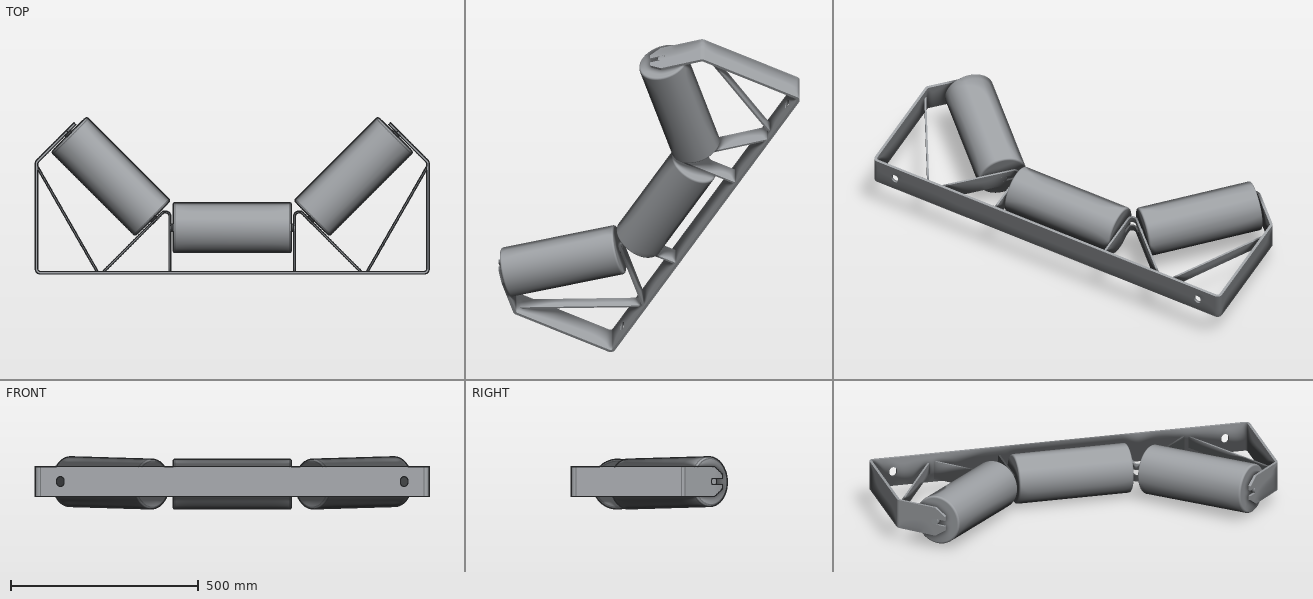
import cadquery as cq
import math

frame_width = 1050.0
strip_height = 80.0
strip_thickness = 7.0
strip_bend_radius = 14.0
flange_reach = 32.0
tip_chamfer_run = 29.0
tip_chamfer_drop = 20.0

hole_x = 458.0
hole_width = 20.0
hole_height = 26.0

brace_thickness = 5.0
brace_height = 32.0
brace_foot_x = 360.0
brace_top_y = 282.0

bracket_thickness = 5.0
bracket_height = 50.0
bracket_top_y = 168.0
bracket_bend_radius = 14.0

roller_length = 315.0
roller_radius = 66.7
roller_edge_fillet = 5.0
shaft_radius = 10.0
shoulder_gap = 0.5
shaft_flat_width = 16.0
end_gap = 5.8
slot_climb = 63.0
slot_overcut = 9.0

slant_angle = 45.0
climb_angle = 1.2
middle_y = 124.0
middle_z = -6.8
side_x = 323.0
side_y = 260.0
side_z = -3.4

half_width = frame_width / 2
inner_half_width = half_width - strip_thickness
half_roller = roller_length / 2
plate_face = half_roller + end_gap
flange_far_face = plate_face + strip_thickness
arm_far_face = plate_face + bracket_thickness
slope = math.tan(math.radians(slant_angle))
slant_cos = math.cos(math.radians(slant_angle))
slant_sin = math.sin(math.radians(slant_angle))


def slanted_y(along, x):
    """Y at a given X on the plate face that crosses the left roller axis at a distance along it."""
    axis_x = -side_x - along * slant_cos
    axis_y = side_y + along * slant_sin
    return axis_y + (x - axis_x) * slope


def slanted_x(along, y):
    """X at a given Y on the same plate face."""
    return (y - slanted_y(along, 0)) / slope


def flange_tip(along):
    """Tip corner of the left flange on the face at a distance along the roller axis."""
    x = -side_x - along * slant_cos + flange_reach * slant_sin
    return (x, slanted_y(along, x))


def upright_plate(outline, height, z_middle=0.0):
    """Outline in XY extruded in Z, half to each side of its middle height."""
    base = cq.Workplane("XY", origin=(0, 0, z_middle))
    return base.polyline(outline).close().extrude(height / 2, both=True)


def round_bend(plate, corner, radius):
    """Round the upright edge of a plate that stands at an XY corner."""
    edge = plate.edges("|Z").edges(cq.selectors.NearestToPointSelector((*corner, 0)))
    return edge.fillet(radius)


def place_middle(body):
    return body.translate((0, middle_y, middle_z))


def place_left(body):
    """Tilt and slant a body built along X, then move it to the left side roller's centre."""
    tilted = body.rotate((0, 0, 0), (0, 1, 0), climb_angle)
    return tilted.rotate((0, 0, 0), (0, 0, 1), -slant_angle).translate((-side_x, side_y, side_z))


def along_x(start, radius, length):
    return cq.Workplane("YZ", origin=(start, 0, 0)).circle(radius).extrude(length)


def make_roller(left_plate, right_plate):
    """Roller along X; its shaft ends have flats where they pass through the given plates."""
    roller = along_x(-half_roller, roller_radius, roller_length).edges().fillet(roller_edge_fillet)
    left_end = plate_face + left_plate
    right_end = plate_face + right_plate
    shaft = along_x(-left_end, shaft_radius, left_end + right_end)
    neck_end = plate_face - shoulder_gap
    neck = along_x(-neck_end, shaft_radius, 2 * neck_end)
    flats = cq.Workplane("XY").box(2 * max(left_end, right_end), 2 * shaft_radius, shaft_flat_width)
    return roller.union(neck).union(shaft.intersect(flats))


def make_slots(left_plate, right_plate):
    """Cutters along X for the slots of both plates, closed by the round of the shaft."""
    cutters = cq.Workplane("XY")
    for side, plate in ((-1, left_plate), (1, right_plate)):
        depth = end_gap + plate + slot_overcut
        middle = side * (half_roller + depth / 2)
        seat = along_x(middle - depth / 2, shaft_radius, depth)
        channel = cq.Workplane("XY").box(depth, slot_climb, 2 * shaft_radius)
        channel = channel.translate((middle, slot_climb / 2, 0))
        limit = cq.Workplane("XY").box(depth, 2 * slot_climb, shaft_flat_width).translate((middle, 0, 0))
        cutters = cutters.union(seat.union(channel).intersect(limit))
    return cutters


def make_strip():
    """Left half of the bent strip, from the middle of the base to the flange tip."""
    outer_knee = (-half_width, slanted_y(flange_far_face, -half_width))
    inner_knee = (-inner_half_width, slanted_y(plate_face, -inner_half_width))
    outer_corner = (-half_width, 0)
    inner_corner = (-inner_half_width, strip_thickness)
    outline = [
        (0, 0),
        outer_corner,
        outer_knee,
        flange_tip(flange_far_face),
        flange_tip(plate_face),
        inner_knee,
        inner_corner,
        (0, strip_thickness),
    ]
    half = upright_plate(outline, strip_height)
    for corner in (outer_corner, outer_knee):
        half = round_bend(half, corner, strip_bend_radius)
    for corner in (inner_corner, inner_knee):
        half = round_bend(half, corner, strip_bend_radius - strip_thickness)
    half = half.cut(make_tip_corners())
    hole = cq.Workplane("XZ", origin=(-hole_x, strip_thickness, 0)).slot2D(hole_height, hole_width, 90)
    return half.cut(hole.extrude(strip_thickness))


def make_tip_corners():
    """The two corners removed from the left flange tip by its chamfers."""
    tip_x, tip_y = flange_tip(flange_far_face)
    tip_plane = cq.Plane(
        origin=(tip_x, tip_y, 0),
        xDir=(slant_sin, slant_cos, 0),
        normal=(slant_cos, -slant_sin, 0),
    )
    top = strip_height / 2
    corner = [(0, top), (-tip_chamfer_run, top), (0, top - tip_chamfer_drop)]
    upper = cq.Workplane(tip_plane).polyline(corner).close().extrude(strip_thickness)
    return upper.union(upper.mirror("XY"))


def make_bracket():
    """Left bracket: slanted arm, short flat top and a leg beside the middle roller."""
    lower_top_y = bracket_top_y - bracket_thickness
    outer_corner = (-plate_face, bracket_top_y)
    inner_corner = (-arm_far_face, lower_top_y)
    outline = [
        (slanted_x(-plate_face, strip_thickness), strip_thickness),
        (slanted_x(-plate_face, bracket_top_y), bracket_top_y),
        outer_corner,
        (-plate_face, strip_thickness),
        (-arm_far_face, strip_thickness),
        inner_corner,
        (slanted_x(-arm_far_face, lower_top_y), lower_top_y),
        (slanted_x(-arm_far_face, strip_thickness), strip_thickness),
    ]
    bracket = upright_plate(outline, bracket_height, middle_z)
    bracket = round_bend(bracket, outer_corner, bracket_bend_radius)
    return round_bend(bracket, inner_corner, bracket_bend_radius - bracket_thickness)


def make_brace():
    """Left brace: a slanted flat bar from the strip to the upright end."""
    rise = brace_top_y - strip_thickness
    run = inner_half_width - brace_foot_x
    half_x = brace_thickness / 2 * math.hypot(rise, run) / rise
    half_y = half_x * rise / run
    outline = [
        (-brace_foot_x - half_x, strip_thickness),
        (-brace_foot_x + half_x, strip_thickness),
        (-inner_half_width, brace_top_y + half_y),
        (-inner_half_width, brace_top_y - half_y),
    ]
    return upright_plate(outline, brace_height)


def make_frame():
    """Strip, brackets and braces welded into one, with a slot for every shaft end."""
    half = make_strip().union(make_bracket()).union(make_brace())
    half = half.cut(place_left(make_slots(strip_thickness, bracket_thickness)))
    half = half.cut(place_middle(make_slots(bracket_thickness, bracket_thickness)))
    return half.union(half.mirror("YZ"))


frame = make_frame()
middle_roller = place_middle(make_roller(bracket_thickness, bracket_thickness))
left_roller = place_left(make_roller(strip_thickness, bracket_thickness))
side_rollers = [left_roller, left_roller.mirror("YZ")]

result = cq.Compound.makeCompound(
    [frame.val(), middle_roller.val(), *[roller.val() for roller in side_rollers]]
)